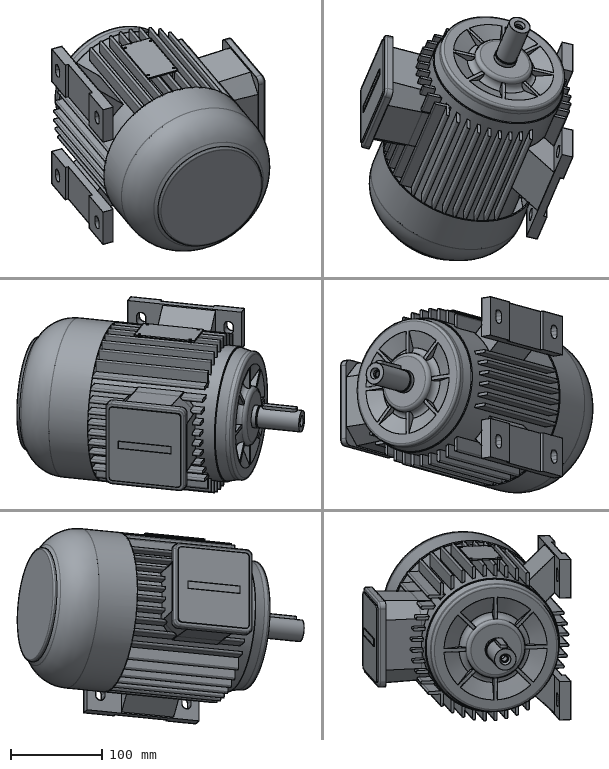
import cadquery as cq
import math


SHAFT_LENGTH = 50.0
SHAFT_RADIUS = 12.0
COLLAR_RADIUS = 12.5
GROOVE_START = -2.4
GROOVE_WIDTH = 1.6
GROOVE_RADIUS = 11.6
KEY_LENGTH = 40.0
KEY_WIDTH = 8.0
KEY_TOP = 15.0
KEY_BOTTOM = 8.0
CENTRE_MOUTH_RADIUS = 6.1
CENTRE_RELIEF_RADIUS = 4.2
CENTRE_RELIEF_DEPTH = 6.0
CENTRE_DRILL_RADIUS = 3.4
CENTRE_DRILL_DEPTH = 21.0
CENTRE_HALF_ANGLE = 30.0
DRILL_TIP_HALF_ANGLE = 59.0

HUB_FRONT = 4.2
HUB_RADIUS = 33.0
SHIELD_FRONT = 8.9
HUB_ROUND = SHIELD_FRONT - HUB_FRONT
SHIELD_RADIUS = 71.3
SHIELD_ROUND = 3.0
SHIELD_TAPER_START = 16.3
SHIELD_TAPER_END = 27.4
SHIELD_TAPER_RADIUS = 74.0
SHIELD_LIP_LENGTH = 0.8
RECESS_OUTER_RADIUS = 57.6
RECESS_DEPTH = 7.5
RECESS_FILLET = 6.5
RIB_COUNT = 8
RIB_WIDTH = 4.0

BODY_RADIUS = 75.0
FIN_START = 41.3
FIN_END = 169.3
FIN_PITCH = 12.0
FIN_THICKNESS = 3.5
FIN_OUTER_RADIUS = 88.0
FIN_ROOT_RADIUS = 70.0

COWL_CYLINDER_END = 213.8
COWL_RADIUS = FIN_OUTER_RADIUS
COWL_WALL = 1.5
COWL_DOME_RADIUS = 44.0
COWL_DOME_END_RADIUS = 66.8
COWL_RIM_START = 254.2
COWL_RIM_RADIUS = 63.0
COWL_RIM_ROUND = 2.0
COWL_END = 258.0

FOOT_HEIGHT = 90.0
FOOT_START = FIN_START
FOOT_LENGTH = 130.0
FOOT_THICKNESS = 12.4
FOOT_OUTER_Z = 90.0
FOOT_INNER_Z = 46.8
FOOT_RECESS_START = 75.8
FOOT_RECESS_LENGTH = 60.2
FOOT_RECESS_DEPTH = 3.7
FOOT_HOLE_FIRST_X = 56.0
FOOT_HOLE_PITCH = 100.0
FOOT_HOLE_Z = 70.0
FOOT_SLOT_WIDTH = 10.5
FOOT_SLOT_LENGTH = 14.9
BRACKET_START = 71.0
BRACKET_LENGTH = 60.4
BRACKET_OUTER_Z = 88.6
BRACKET_ANGLE = 43.0
BRACKET_REACH = 45.0

BOX_X = 93.3
BOX_ROOT_Y = 60.0
BOX_STRAIGHT_Y = 75.2
BOX_TOP_Y = 115.0
BOX_BASE_HALF_X = 43.0
BOX_BASE_HALF_Z = 44.5
BOX_TOP_HALF_X = 44.6
BOX_TOP_HALF_Z = 46.3
BOX_FLAT_HALF_X = 25.9
BOX_FLAT_HALF_Z = 28.0
LID_LENGTH = 91.0
LID_WIDTH = 96.0
LID_THICKNESS = 8.4
LID_CORNER_RADIUS = 7.0
LID_EDGE_ROUND = 1.9
PANEL_LENGTH = 82.0
PANEL_WIDTH = 86.4
PANEL_TOP_Y = 125.1
PANEL_CORNER_RADIUS = 4.0
BADGE_LENGTH = 60.4
BADGE_WIDTH = 8.4
BADGE_TOP_Y = 126.0

PLATE_X = 101.9
PLATE_LENGTH = 68.8
PLATE_WIDTH = 36.5
PLATE_TOP_Z = 88.8
PLATE_THICKNESS = 1.5
POST_RADIUS = 1.3
POST_SPACING_X = 58.0
POST_SPACING_Y = 31.0
POST_HEAD_HEIGHT = 0.1


def revolve_about_x(profile):
    return profile.close().revolve(360, (0, 0, 0), (1, 0, 0))


def block(x_start, x_end, y_start, y_end, z_start, z_end):
    corner = cq.Vector(x_start, y_start, z_start)
    return cq.Workplane(cq.Solid.makeBox(x_end - x_start, y_end - y_start, z_end - z_start, corner))


def plate_along_y(length, width, y_start, y_end, corner_radius=0.0):
    """Rectangular plate centred on the terminal box, length along X and width along Z."""
    plate = block(BOX_X - length / 2, BOX_X + length / 2, y_start, y_end, -width / 2, width / 2)
    if corner_radius:
        plate = plate.edges("|Y").fillet(corner_radius)
    return plate


def make_shaft():
    """Shaft with a shallow V groove at the shoulder, a collar and a round-ended key."""
    profile = (
        cq.Workplane("XY")
        .moveTo(-SHAFT_LENGTH, 0)
        .lineTo(-SHAFT_LENGTH, SHAFT_RADIUS)
        .lineTo(GROOVE_START, SHAFT_RADIUS)
        .lineTo(GROOVE_START + GROOVE_WIDTH / 2, GROOVE_RADIUS)
        .lineTo(GROOVE_START + GROOVE_WIDTH, COLLAR_RADIUS)
        .lineTo(SHIELD_FRONT, COLLAR_RADIUS)
        .lineTo(SHIELD_FRONT, 0)
    )
    key = (
        cq.Workplane("XY", origin=(-SHAFT_LENGTH / 2, 0, KEY_BOTTOM))
        .slot2D(KEY_LENGTH, KEY_WIDTH)
        .extrude(KEY_TOP - KEY_BOTTOM)
    )
    return revolve_about_x(profile).union(key)


def make_centre_hole():
    """Centre hole in the shaft end: conical mouth, short relief and drill hole with a pointed end."""
    cone_slope = math.tan(math.radians(CENTRE_HALF_ANGLE))
    tip_depth = CENTRE_DRILL_RADIUS / math.tan(math.radians(DRILL_TIP_HALF_ANGLE))
    cone_depth = (CENTRE_MOUTH_RADIUS - CENTRE_RELIEF_RADIUS) / cone_slope
    profile = (
        cq.Workplane("XY")
        .moveTo(-SHAFT_LENGTH, 0)
        .lineTo(-SHAFT_LENGTH, CENTRE_MOUTH_RADIUS)
        .lineTo(-SHAFT_LENGTH + cone_depth, CENTRE_RELIEF_RADIUS)
        .lineTo(-SHAFT_LENGTH + CENTRE_RELIEF_DEPTH, CENTRE_RELIEF_RADIUS)
        .lineTo(-SHAFT_LENGTH + CENTRE_RELIEF_DEPTH, CENTRE_DRILL_RADIUS)
        .lineTo(-SHAFT_LENGTH + CENTRE_DRILL_DEPTH, CENTRE_DRILL_RADIUS)
        .lineTo(-SHAFT_LENGTH + CENTRE_DRILL_DEPTH + tip_depth, 0)
    )
    return revolve_about_x(profile)


def make_housing():
    """Hub, dished end shield, cylindrical body and domed fan cowl as one turned shape.

    The cowl starts as a thin skirt around the body and leaves a ring gap for the cooling air.
    """
    dome_centre_radius = COWL_RADIUS - COWL_DOME_RADIUS
    dome_end_angle = math.asin((COWL_DOME_END_RADIUS - dome_centre_radius) / COWL_DOME_RADIUS)
    dome_end_x = COWL_CYLINDER_END + COWL_DOME_RADIUS * math.cos(dome_end_angle)
    dome_mid_angle = (math.pi / 2 + dome_end_angle) / 2
    dome_mid = (
        COWL_CYLINDER_END + COWL_DOME_RADIUS * math.cos(dome_mid_angle),
        dome_centre_radius + COWL_DOME_RADIUS * math.sin(dome_mid_angle),
    )
    profile = (
        cq.Workplane("XY")
        .moveTo(HUB_FRONT, 0)
        .lineTo(HUB_FRONT, HUB_RADIUS - HUB_ROUND)
        .radiusArc((SHIELD_FRONT, HUB_RADIUS), HUB_ROUND)
        .radiusArc((SHIELD_FRONT + RECESS_DEPTH, HUB_RADIUS + RECESS_FILLET), -RECESS_FILLET)
        .lineTo(SHIELD_FRONT, RECESS_OUTER_RADIUS)
        .lineTo(SHIELD_FRONT, SHIELD_RADIUS - SHIELD_ROUND)
        .radiusArc((SHIELD_FRONT + SHIELD_ROUND, SHIELD_RADIUS), SHIELD_ROUND)
        .lineTo(SHIELD_TAPER_START, SHIELD_RADIUS)
        .lineTo(SHIELD_TAPER_END, SHIELD_TAPER_RADIUS)
        .lineTo(SHIELD_TAPER_END + SHIELD_LIP_LENGTH, BODY_RADIUS)
        .lineTo(COWL_CYLINDER_END, BODY_RADIUS)
        .lineTo(COWL_CYLINDER_END, COWL_RADIUS - COWL_WALL)
        .lineTo(FIN_END, COWL_RADIUS - COWL_WALL)
        .lineTo(FIN_END, COWL_RADIUS)
        .lineTo(COWL_CYLINDER_END, COWL_RADIUS)
        .threePointArc(dome_mid, (dome_end_x, COWL_DOME_END_RADIUS))
        .lineTo(COWL_RIM_START, COWL_RIM_RADIUS)
        .lineTo(COWL_END - COWL_RIM_ROUND, COWL_RIM_RADIUS)
        .radiusArc((COWL_END, COWL_RIM_RADIUS - COWL_RIM_ROUND), COWL_RIM_ROUND)
        .lineTo(COWL_END, 0)
    )
    return revolve_about_x(profile)


def make_shield_ribs():
    """Radial ribs across the end shield recess, flush with the shield front."""
    inner_radius = HUB_RADIUS - HUB_ROUND
    rib = block(
        SHIELD_FRONT, SHIELD_FRONT + 2 * RECESS_DEPTH,
        inner_radius, RECESS_OUTER_RADIUS + SHIELD_ROUND,
        -RIB_WIDTH / 2, RIB_WIDTH / 2,
    )
    ribs = cq.Workplane("XY")
    for index in range(RIB_COUNT):
        ribs = ribs.add(rib.rotate((0, 0, 0), (1, 0, 0), index * 360 / RIB_COUNT))
    return ribs.combine()


def fin_offsets(first, last):
    """Fin centre positions, spaced evenly and lying half a pitch either side of the motor axis."""
    return [(index + 0.5) * FIN_PITCH for index in range(first, last + 1)]


def make_upright_fin(offset):
    """One fin on the +Z side at the given Y, with a fully rounded tip on the fin envelope."""
    half = FIN_THICKNESS / 2
    root = math.sqrt(max(FIN_ROOT_RADIUS**2 - offset**2, 0))
    tip = math.sqrt(FIN_OUTER_RADIUS**2 - offset**2)
    return (
        cq.Workplane("YZ", origin=(FIN_START, 0, 0))
        .moveTo(offset - half, root)
        .lineTo(offset - half, tip - half)
        .threePointArc((offset, tip), (offset + half, tip - half))
        .lineTo(offset + half, root)
        .close()
        .extrude(FIN_END - FIN_START)
    )


def make_fins():
    """Cooling fins on the four sides, parallel to Z on top and bottom and to Y front and back."""
    offsets_by_side_angle = {
        0: fin_offsets(-4, 4),
        90: fin_offsets(-3, 2),
        180: fin_offsets(-5, 3),
        270: fin_offsets(-5, 4),
    }
    fins = cq.Workplane("XY")
    for side_angle, offsets in offsets_by_side_angle.items():
        for offset in offsets:
            fins = fins.union(make_upright_fin(offset).rotate((0, 0, 0), (1, 0, 0), side_angle))
    return fins


def make_foot():
    """Foot pad on the +Z side with its inclined bracket, underside recess and two slotted holes."""
    pad_top_y = -FOOT_HEIGHT + FOOT_THICKNESS
    pad = block(
        FOOT_START, FOOT_START + FOOT_LENGTH,
        -FOOT_HEIGHT, pad_top_y,
        FOOT_INNER_Z, FOOT_OUTER_Z,
    )
    recess = block(
        FOOT_RECESS_START, FOOT_RECESS_START + FOOT_RECESS_LENGTH,
        -FOOT_HEIGHT, -FOOT_HEIGHT + FOOT_RECESS_DEPTH,
        FOOT_INNER_Z, FOOT_OUTER_Z,
    )
    slots = (
        cq.Workplane("XZ", origin=(FOOT_HOLE_FIRST_X + FOOT_HOLE_PITCH / 2, pad_top_y, FOOT_HOLE_Z))
        .pushPoints([(-FOOT_HOLE_PITCH / 2, 0), (FOOT_HOLE_PITCH / 2, 0)])
        .slot2D(FOOT_SLOT_LENGTH, FOOT_SLOT_WIDTH, 90)
        .extrude(FOOT_THICKNESS)
    )
    reach_y = BRACKET_REACH * math.cos(math.radians(BRACKET_ANGLE))
    reach_z = BRACKET_REACH * math.sin(math.radians(BRACKET_ANGLE))
    bracket = (
        cq.Workplane("YZ", origin=(BRACKET_START, 0, 0))
        .moveTo(pad_top_y, BRACKET_OUTER_Z)
        .lineTo(pad_top_y + reach_y, BRACKET_OUTER_Z - reach_z)
        .lineTo(pad_top_y + reach_y, FOOT_INNER_Z - reach_z)
        .lineTo(pad_top_y, FOOT_INNER_Z)
        .close()
        .extrude(BRACKET_LENGTH)
    )
    return pad.cut(recess).cut(slots).union(bracket)


def octagon_points(half_x, half_z):
    """Rectangle with bevelled corners; the flats keep the same length at every height."""
    return [
        (half_x, -BOX_FLAT_HALF_Z),
        (half_x, BOX_FLAT_HALF_Z),
        (BOX_FLAT_HALF_X, half_z),
        (-BOX_FLAT_HALF_X, half_z),
        (-half_x, BOX_FLAT_HALF_Z),
        (-half_x, -BOX_FLAT_HALF_Z),
        (-BOX_FLAT_HALF_X, -half_z),
        (BOX_FLAT_HALF_X, -half_z),
    ]


def make_terminal_box():
    """Eight-sided box on the +Y side with a straight root, a flaring body and a stepped lid."""
    base_points = octagon_points(BOX_BASE_HALF_X, BOX_BASE_HALF_Z)
    top_points = octagon_points(BOX_TOP_HALF_X, BOX_TOP_HALF_Z)
    root_depth = BOX_STRAIGHT_Y - BOX_ROOT_Y
    flare_height = BOX_TOP_Y - BOX_STRAIGHT_Y
    base_plane = cq.Workplane("XZ", origin=(BOX_X, BOX_STRAIGHT_Y, 0))
    root = base_plane.polyline(base_points).close().extrude(root_depth)
    body = (
        base_plane.polyline(base_points).close()
        .workplane(offset=-flare_height)
        .polyline(top_points).close()
        .loft(ruled=True)
    )
    lid_top_y = BOX_TOP_Y + LID_THICKNESS
    lid = plate_along_y(LID_LENGTH, LID_WIDTH, BOX_TOP_Y, lid_top_y, LID_CORNER_RADIUS)
    lid = lid.faces(">Y").edges().fillet(LID_EDGE_ROUND)
    panel = plate_along_y(PANEL_LENGTH, PANEL_WIDTH, BOX_TOP_Y, PANEL_TOP_Y, PANEL_CORNER_RADIUS)
    badge = plate_along_y(BADGE_LENGTH, BADGE_WIDTH, BOX_TOP_Y, BADGE_TOP_Y)
    return root.union(body).union(lid).union(panel).union(badge)


def make_rating_plate():
    """Flat plate resting on the top fins, held by four posts that stand on the body."""
    plate_bottom_z = PLATE_TOP_Z - PLATE_THICKNESS
    plate = (
        cq.Workplane("XY", origin=(PLATE_X, 0, plate_bottom_z))
        .rect(PLATE_LENGTH, PLATE_WIDTH)
        .extrude(PLATE_THICKNESS)
    )
    posts = (
        cq.Workplane("XY", origin=(PLATE_X, 0, FIN_ROOT_RADIUS))
        .rect(POST_SPACING_X, POST_SPACING_Y, forConstruction=True)
        .vertices()
        .circle(POST_RADIUS)
        .extrude(PLATE_TOP_Z + POST_HEAD_HEIGHT - FIN_ROOT_RADIUS)
    )
    return plate.union(posts)


upper_foot = make_foot()
lower_foot = upper_foot.mirror("XY")

result = (
    make_housing()
    .union(make_shield_ribs())
    .union(make_shaft())
    .cut(make_centre_hole())
    .union(make_fins())
    .union(upper_foot)
    .union(lower_foot)
    .union(make_terminal_box())
    .union(make_rating_plate())
)